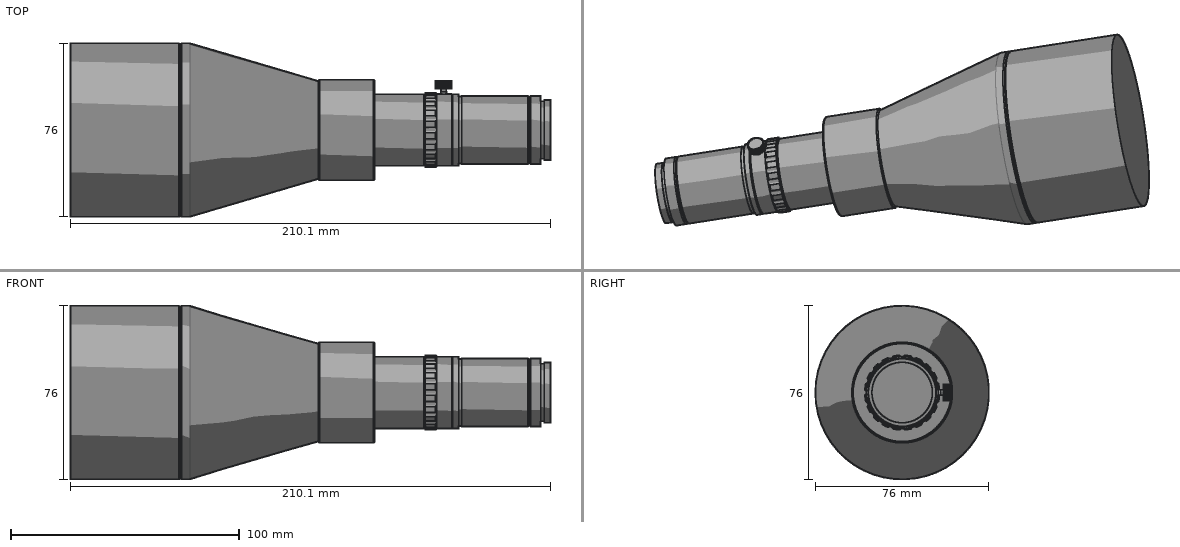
import cadquery as cq
import math

total_length = 210.1
barrel_radius = 38.0
barrel_groove_x = 48.1
barrel_end_x = 52.1
sleeve_start_x = 108.5
sleeve_end_x = 133.2
sleeve_radius = 22.0
sleeve_chamfer = 0.6
tube_radius = 15.8
tube_groove_x = 167.0
tube_end_x = 169.8
neck_radius = 14.7
eyepiece_start_x = 171.2
eyepiece_radius = 15.0
eyepiece_groove_x = 200.7
eyepiece_end_x = 205.7
cap_neck_radius = 12.6
cap_start_x = 207.2
cap_radius = 13.2

barrel_groove_depth = 0.6
tube_groove_depth = 0.32
eyepiece_groove_depth = 0.6

ring_start_x = 155.3
relief_width = 0.6
relief_depth = 0.5
ring_end_x = 160.3
ring_radius = 16.4
ring_bevel_length = 0.6
flute_count = 20
flute_width = 2.5
flute_radius = 1.5

screw_x = 163.3
screw_tip_y = 13.7
stem_radius = 1.3
stem_end_y = 16.8
shank_radius = 1.15
head_start_y = 18.0
head_end_y = 21.5
head_radius = 3.5
head_flute_count = 24
head_flute_radius = 0.25


def v_groove(center_x, radius, depth):
    """Profile points of a V groove cut into a cylinder of the given radius."""
    return [
        (center_x - depth, radius),
        (center_x, radius - depth),
        (center_x + depth, radius),
    ]


def make_turned_body():
    """Solid of revolution about X, given as (x, radius) points."""
    profile = [
        (0, 0),
        (0, barrel_radius),
        *v_groove(barrel_groove_x, barrel_radius, barrel_groove_depth),
        (barrel_end_x, barrel_radius),
        (sleeve_start_x, sleeve_radius - sleeve_chamfer),
        (sleeve_start_x + sleeve_chamfer, sleeve_radius),
        (sleeve_end_x - sleeve_chamfer, sleeve_radius),
        (sleeve_end_x, sleeve_radius - sleeve_chamfer),
        (sleeve_end_x, tube_radius),
        (ring_start_x - relief_width, tube_radius),
        (ring_start_x - relief_width, tube_radius - relief_depth),
        (ring_start_x, tube_radius - relief_depth),
        (ring_start_x, ring_radius),
        (ring_end_x - ring_bevel_length, ring_radius),
        (ring_end_x, tube_radius),
        *v_groove(tube_groove_x, tube_radius, tube_groove_depth),
        (tube_end_x, tube_radius),
        (tube_end_x, neck_radius),
        (eyepiece_start_x, neck_radius),
        (eyepiece_start_x, eyepiece_radius),
        *v_groove(eyepiece_groove_x, eyepiece_radius, eyepiece_groove_depth),
        (eyepiece_end_x, eyepiece_radius),
        (eyepiece_end_x, cap_neck_radius),
        (cap_start_x, cap_neck_radius),
        (cap_start_x, cap_radius),
        (total_length, cap_radius),
        (total_length, 0),
    ]
    points = [(x, -radius) for x, radius in profile]
    return cq.Workplane("XY").polyline(points).close().revolve(360, (0, 0, 0), (1, 0, 0))


def make_ring_flutes():
    """Round flutes along X, spaced evenly around the knurled ring."""
    axis_radius = ring_radius + math.sqrt(flute_radius**2 - (flute_width / 2) ** 2)
    return (
        cq.Workplane("YZ", origin=(ring_start_x, 0, 0))
        .polarArray(axis_radius, 0, 360, flute_count)
        .circle(flute_radius)
        .extrude(ring_end_x - ring_start_x)
    )


def cylinder_along_y(radius, start_y, end_y):
    """Cylinder on the screw axis between two Y positions."""
    plane = cq.Plane(origin=(screw_x, start_y, 0), xDir=(1, 0, 0), normal=(0, 1, 0))
    return cq.Workplane(plane).circle(radius).extrude(end_y - start_y)


def make_housing():
    """Turned body with the fluted ring and a blind hole for the screw stem."""
    screw_hole = cylinder_along_y(stem_radius, screw_tip_y, stem_end_y)
    return make_turned_body().cut(make_ring_flutes()).cut(screw_hole)


def make_thumb_screw():
    """Stem, slimmer shank and fluted head."""
    stem = cylinder_along_y(stem_radius, screw_tip_y, stem_end_y)
    shank = cylinder_along_y(shank_radius, stem_end_y, head_start_y)
    head = cylinder_along_y(head_radius, head_start_y, head_end_y)
    plane = cq.Plane(origin=(screw_x, head_start_y, 0), xDir=(1, 0, 0), normal=(0, 1, 0))
    flutes = (
        cq.Workplane(plane)
        .polarArray(head_radius, 0, 360, head_flute_count)
        .circle(head_flute_radius)
        .extrude(head_end_y - head_start_y)
    )
    return stem.union(shank).union(head.cut(flutes))


housing = make_housing()
thumb_screw = make_thumb_screw()
result = cq.Compound.makeCompound([housing.solids().val(), thumb_screw.solids().val()])